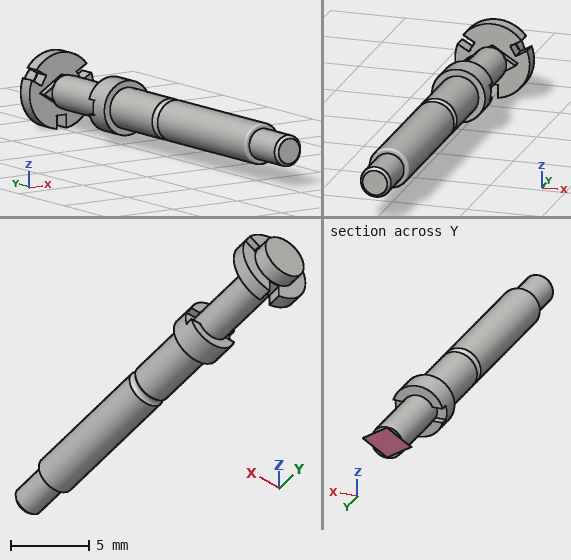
import cadquery as cq

LENGTH = 27.4

TIP_RADIUS = 1.01
BODY_RADIUS = 1.35
COLLAR_RADIUS = 1.78
ROD_RADIUS = 1.12
NECK_RADIUS = 1.1
FLANGE_RADIUS = 2.5
BOSS_RADIUS = 1.53

TIP_LENGTH = 3.0
BODY_END = 18.0
COLLAR_LENGTH = 1.78
BOSS_LENGTH = 1.1
FLANGE_THICKNESS = 1.01
KEY_THICKNESS = 0.5
NECK_LENGTH = 0.38

COLLAR_END = BODY_END + COLLAR_LENGTH
FLANGE_END = LENGTH - BOSS_LENGTH
FLANGE_START = FLANGE_END - FLANGE_THICKNESS
KEY_START = FLANGE_START - KEY_THICKNESS
NECK_START = KEY_START - NECK_LENGTH

TIP_CHAMFER = 0.2
SHOULDER_FILLET = 0.16

GROOVE_START = 12.7
GROOVE_WIDTH = 0.6
GROOVE_DEPTH = 0.22

KEY_HALF_WIDTH = 1.7
KEY_HALF_HEIGHT = 1.07

COLLAR_SLOT_WIDTH = 1.0
COLLAR_SLOT_DEPTH = 0.52

NOTCH_COUNT = 3
NOTCH_WIDTH = 0.75
NOTCH_FLOOR_RADIUS = 1.6


def cylinder(radius, start, end):
    """Solid cylinder on the Y axis between two Y positions."""
    return cq.Workplane("XZ", origin=(0, end, 0)).circle(radius).extrude(end - start)


def make_body():
    """Tip with a chamfered end, body with a rounded shoulder and the groove."""
    groove_middle = GROOVE_START + GROOVE_WIDTH / 2
    groove_end = GROOVE_START + GROOVE_WIDTH
    profile = (
        cq.Workplane("XY")
        .moveTo(0, 0)
        .lineTo(TIP_RADIUS - TIP_CHAMFER, 0)
        .lineTo(TIP_RADIUS, TIP_CHAMFER)
        .lineTo(TIP_RADIUS, TIP_LENGTH)
        .lineTo(BODY_RADIUS - SHOULDER_FILLET, TIP_LENGTH)
        .radiusArc((BODY_RADIUS, TIP_LENGTH + SHOULDER_FILLET), -SHOULDER_FILLET)
        .lineTo(BODY_RADIUS, GROOVE_START)
        .threePointArc((BODY_RADIUS - GROOVE_DEPTH, groove_middle), (BODY_RADIUS, groove_end))
        .lineTo(BODY_RADIUS, BODY_END)
        .lineTo(0, BODY_END)
        .close()
    )
    return profile.revolve(360, (0, 0, 0), (0, 1, 0))


def make_collar():
    """Collar ring with a slot along X across its head-side face."""
    slot = cq.Workplane("XY").box(2 * COLLAR_RADIUS, 2 * COLLAR_SLOT_DEPTH, COLLAR_SLOT_WIDTH)
    return cylinder(COLLAR_RADIUS, BODY_END, COLLAR_END).cut(slot.translate((0, COLLAR_END, 0)))


def make_rod():
    """Thin rod between collar and key, tapering to a slimmer neck."""
    profile = [
        (0, BODY_END),
        (ROD_RADIUS, BODY_END),
        (ROD_RADIUS, NECK_START),
        (NECK_RADIUS, KEY_START),
        (0, KEY_START),
    ]
    return cq.Workplane("XY").polyline(profile).close().revolve(360, (0, 0), (0, 1))


def make_key():
    """Rhombic plate, long along X, joining the rod to the flange."""
    corners = [
        (KEY_HALF_WIDTH, 0),
        (0, KEY_HALF_HEIGHT),
        (-KEY_HALF_WIDTH, 0),
        (0, -KEY_HALF_HEIGHT),
    ]
    plane = cq.Workplane("XZ", origin=(0, FLANGE_START, 0))
    return plane.polyline(corners).close().extrude(KEY_THICKNESS)


def make_flange():
    """Flange disc with evenly spaced notches, the first pointing to -Z."""
    flange = cylinder(FLANGE_RADIUS, FLANGE_START, FLANGE_END)
    notch_length = FLANGE_RADIUS
    notch = cq.Workplane("XY").box(NOTCH_WIDTH, FLANGE_THICKNESS, notch_length)
    notch = notch.translate((
        0,
        (FLANGE_START + FLANGE_END) / 2,
        -NOTCH_FLOOR_RADIUS - notch_length / 2,
    ))
    for index in range(NOTCH_COUNT):
        flange = flange.cut(notch.rotate((0, 0, 0), (0, 1, 0), index * 360 / NOTCH_COUNT))
    return flange


result = (
    make_body()
    .union(make_collar())
    .union(make_rod())
    .union(make_key())
    .union(make_flange())
    .union(cylinder(BOSS_RADIUS, FLANGE_END, LENGTH))
)